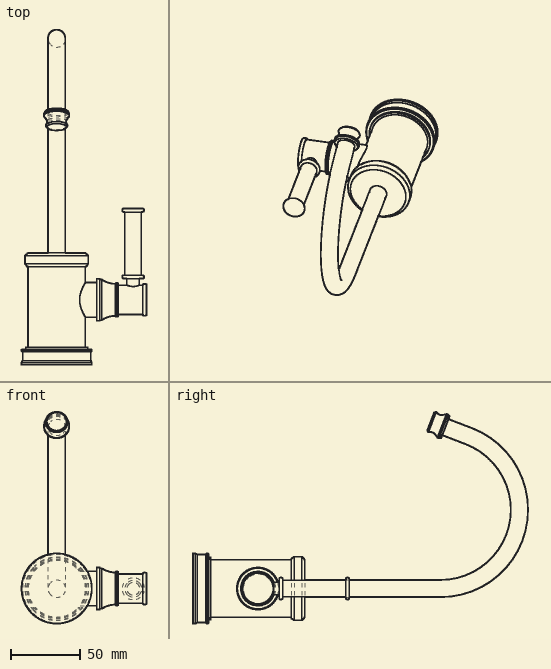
import cadquery as cq
import math


base_radius = 25.5
foot_thickness = 1.7
foot_taper_end = 3.1
plinth_radius = 24.7
plinth_ring_start = 9.5
plinth_ring_end = 11.4
ring_chamfer = 0.6
plinth_step_radius = 22.5
plinth_end = 12.8
barrel_radius = 20.8
cap_start = 70.9
cap_end = 80.8
cap_radius = 23.0
cap_top_radius = 20.5
cap_skirt_radius = 21.5
cap_shoulder_radius = 22.2
cap_shoulder_drop = 1.2
cap_edge = 2.2

tube_radius = 6.3
outer_reach = 241.8
bend_radius = 56.8
bend_start = outer_reach - tube_radius - bend_radius
nozzle_tilt = 21
spout_tail = 18.1

nozzle_length = 11.4
nozzle_back_radius = 8.5
collar_radius = 9.2
collar_position = 1.5
collar_end = 2.7
collar_foot_radius = 7.3
collar_foot_position = 5.5
waist_radius = 7.0
waist_position = 6.5
lip_radius = 8.0
lip_position = 10.2
nozzle_face_radius = 7.0

valve_y = 47.0
valve_end = 64.8
neck_radius = 12.5
collar_ring_start = 28.8
collar_ring_end = 31.0
collar_ring_radius = 15.2
flare_start = 32.5
flare_radius = 14.8
flare_end = 42.3
flare_end_radius = 11.5
flare_sag = 0.7
valve_ring_end = 44.5
valve_ring_radius = 12.3
knob_radius = 10.6
knob_rim_radius = 11.1
knob_rim_thickness = 2.7
knob_rim_bulge = 0.5

lever_x = 55.1
stem_radius = 4.5
grip_start = 62.1
grip_end = 113.0
grip_radius = 6.0
disc_radius = 8.0
disc_thickness = 2.7


def cylinder_along_y(x, start, end, radius):
    plane = cq.Plane(origin=(x, start, 0), xDir=(1, 0, 0), normal=(0, 1, 0))
    return cq.Workplane(plane).circle(radius).extrude(end - start)


def make_body():
    profile = (
        cq.Workplane("XY")
        .lineTo(base_radius, 0)
        .lineTo(base_radius, foot_thickness)
        .lineTo(plinth_radius, foot_taper_end)
        .lineTo(plinth_radius, plinth_ring_start)
        .lineTo(base_radius - ring_chamfer, plinth_ring_start)
        .lineTo(base_radius, plinth_ring_start + ring_chamfer)
        .lineTo(base_radius, plinth_ring_end - ring_chamfer)
        .lineTo(base_radius - ring_chamfer, plinth_ring_end)
        .lineTo(plinth_step_radius, plinth_ring_end)
        .lineTo(plinth_step_radius, plinth_end)
        .lineTo(barrel_radius, plinth_end)
        .lineTo(barrel_radius, cap_start)
        .lineTo(cap_skirt_radius, cap_start)
        .lineTo(cap_shoulder_radius, cap_start + cap_shoulder_drop)
        .lineTo(cap_radius, cap_start + cap_edge)
        .lineTo(cap_radius, cap_end - cap_edge)
        .lineTo(cap_shoulder_radius, cap_end - cap_shoulder_drop)
        .lineTo(cap_top_radius, cap_end)
        .lineTo(0, cap_end)
        .close()
    )
    return profile.revolve(360, (0, 0, 0), (0, 1, 0))


def bend_point(angle):
    """Point (Y, Z) on the bend centre line; the angle is measured from where the bend starts."""
    turn = math.radians(angle)
    return (bend_start + bend_radius * math.sin(turn), bend_radius * (1 - math.cos(turn)))


bend_angle = 180 - nozzle_tilt
tilt = math.radians(nozzle_tilt)
bend_end = bend_point(bend_angle)
nozzle_start = (
    bend_end[0] - spout_tail * math.cos(tilt),
    bend_end[1] + spout_tail * math.sin(tilt),
)


def make_spout():
    path = (
        cq.Workplane("YZ")
        .moveTo(cap_start, 0)
        .lineTo(bend_start, 0)
        .threePointArc(bend_point(bend_angle / 2), bend_end)
        .lineTo(*nozzle_start)
    )
    section_plane = cq.Plane(origin=(0, cap_start, 0), xDir=(1, 0, 0), normal=(0, 1, 0))
    return cq.Workplane(section_plane).circle(tube_radius).sweep(path)


def make_nozzle():
    plane = cq.Plane(
        origin=(0, *nozzle_start),
        xDir=(1, 0, 0),
        normal=(0, -math.sin(tilt), -math.cos(tilt)),
    )
    profile = (
        cq.Workplane(plane)
        .lineTo(nozzle_back_radius, 0)
        .lineTo(collar_radius, collar_position)
        .lineTo(collar_radius, collar_end)
        .lineTo(collar_foot_radius, collar_foot_position)
        .threePointArc((waist_radius, waist_position), (lip_radius, lip_position))
        .lineTo(nozzle_face_radius, nozzle_length)
        .lineTo(0, nozzle_length)
        .close()
    )
    return profile.revolve(360, (0, 0, 0), (0, 1, 0))


def make_valve():
    profile = (
        cq.Workplane("XY", origin=(0, valve_y, 0))
        .lineTo(0, neck_radius)
        .lineTo(collar_ring_start, neck_radius)
        .lineTo(collar_ring_start, collar_ring_radius)
        .lineTo(collar_ring_end, collar_ring_radius)
        .lineTo(collar_ring_end, flare_radius)
        .lineTo(flare_start, flare_radius)
        .sagittaArc((flare_end, flare_end_radius), -flare_sag)
        .lineTo(flare_end, valve_ring_radius - ring_chamfer)
        .lineTo(flare_end + ring_chamfer, valve_ring_radius)
        .lineTo(valve_ring_end - ring_chamfer, valve_ring_radius)
        .lineTo(valve_ring_end, valve_ring_radius - ring_chamfer)
        .lineTo(valve_ring_end, knob_radius)
        .lineTo(valve_end - knob_rim_thickness, knob_radius)
        .lineTo(valve_end - knob_rim_thickness, knob_rim_radius)
        .sagittaArc((valve_end, knob_rim_radius), knob_rim_bulge)
        .lineTo(valve_end, 0)
        .close()
    )
    return profile.revolve(360, (0, 0, 0), (1, 0, 0))


def make_disc(start):
    """Lever disc with a half-round rim."""
    flat_radius = disc_radius - disc_thickness / 2
    profile = (
        cq.Workplane("XY", origin=(lever_x, start, 0))
        .lineTo(flat_radius, 0)
        .threePointArc((disc_radius, disc_thickness / 2), (flat_radius, disc_thickness))
        .lineTo(0, disc_thickness)
        .close()
    )
    return profile.revolve(360, (0, 0, 0), (0, 1, 0))


def make_lever():
    stem = cylinder_along_y(lever_x, valve_y, grip_start + disc_thickness, stem_radius)
    grip = cylinder_along_y(lever_x, grip_start, grip_end, grip_radius)
    return (
        stem.union(grip)
        .union(make_disc(grip_start))
        .union(make_disc(grip_end - disc_thickness))
    )


result = (
    make_body()
    .union(make_spout())
    .union(make_nozzle())
    .union(make_valve())
    .union(make_lever())
)